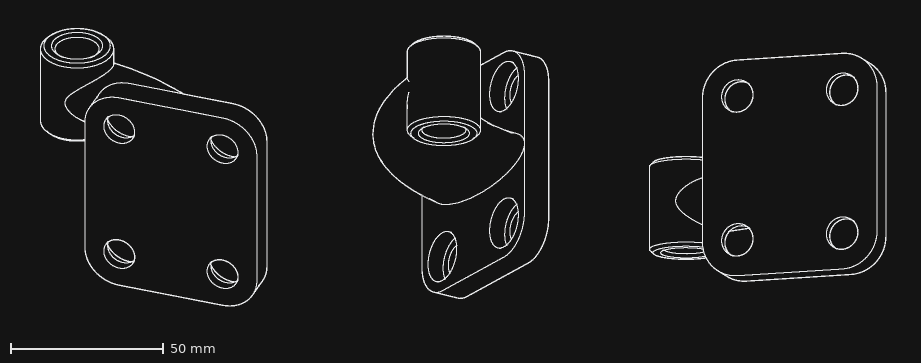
import cadquery as cq
import math

plate_width = 60.2
plate_height = 72.2
plate_thickness = 9.6
corner_radius = 12.0
hole_diameter = 10.8
counterbore_diameter = 16.9
counterbore_depth = 6.0
hole_margin = corner_radius

sleeve_diameter = 24.1
sleeve_length = 30.0
sleeve_y = 57.8
bore_diameter = 14.4
sleeve_chamfer = 1.2

arm_root_width = 54.1
arm_height = 18.1
arm_inner_radius = 39.1
arm_outer_radius = 82.4
arm_section_count = 7
arm_tip_inset = 0.1

sleeve_radius = sleeve_diameter / 2
arm_tip_radius = sleeve_radius - arm_tip_inset
plate_left = sleeve_diameter
plate_center_x = plate_left + plate_width / 2


def make_plate():
    """Rounded plate with a hole near each corner, counterbored on the arm side."""
    return (
        cq.Workplane("XZ", origin=(plate_center_x, 0, 0))
        .rect(plate_width, plate_height)
        .extrude(-plate_thickness)
        .edges("|Y")
        .fillet(corner_radius)
        .faces(">Y")
        .workplane(centerOption="CenterOfBoundBox")
        .rect(plate_width - 2 * hole_margin, plate_height - 2 * hole_margin, forConstruction=True)
        .vertices()
        .cboreHole(hole_diameter, counterbore_diameter, counterbore_depth)
    )


def make_sleeve():
    """Solid sleeve with chamfered ends."""
    return (
        cq.Workplane("XY", origin=(0, sleeve_y, -sleeve_length / 2))
        .circle(sleeve_radius)
        .extrude(sleeve_length)
        .edges("%CIRCLE")
        .chamfer(sleeve_chamfer)
    )


def make_bore():
    """Through bore widening at both ends, as a cutting body."""
    half_length = sleeve_length / 2
    bore_radius = bore_diameter / 2
    mouth_radius = bore_radius + sleeve_chamfer
    profile = [
        (0, -half_length),
        (mouth_radius, -half_length),
        (bore_radius, -half_length + sleeve_chamfer),
        (bore_radius, half_length - sleeve_chamfer),
        (mouth_radius, half_length),
        (0, half_length),
    ]
    return (
        cq.Workplane("XZ", origin=(0, sleeve_y, 0))
        .polyline(profile)
        .close()
        .revolve(360, (0, 0), (0, 1))
    )


def arc_point(start, end, radius, fraction):
    """Point part of the way along the counterclockwise arc from start to end."""
    chord = end - start
    to_center = cq.Vector(0, 0, 1).cross(chord).normalized()
    half_sweep = math.asin(chord.Length / (2 * radius))
    center = (start + end) / 2 + to_center * (radius * math.cos(half_sweep))
    angle = 2 * half_sweep * fraction
    spoke = start - center
    return center + spoke * math.cos(angle) + cq.Vector(0, 0, 1).cross(spoke) * math.sin(angle)


def make_arm():
    """Loft of ellipses whose ends follow the inner and outer arcs of the arm."""
    inner_root = cq.Vector(plate_left, plate_thickness, 0)
    inner_tip = cq.Vector(0, sleeve_y - arm_tip_radius, 0)
    outer_root = cq.Vector(plate_left + arm_root_width, plate_thickness, 0)
    outer_tip = cq.Vector(0, sleeve_y + arm_tip_radius, 0)

    sections = []
    for index in range(arm_section_count):
        fraction = index / (arm_section_count - 1)
        inner = arc_point(inner_root, inner_tip, arm_inner_radius, fraction)
        outer = arc_point(outer_root, outer_tip, arm_outer_radius, fraction)
        across = outer - inner
        normal = across.cross(cq.Vector(0, 0, 1))
        ellipse = cq.Edge.makeEllipse(
            across.Length / 2,
            arm_height / 2,
            pnt=(inner + outer) / 2,
            dir=normal,
            xdir=across,
        )
        sections.append(cq.Wire.assembleEdges([ellipse]))
    return cq.Workplane(obj=cq.Solid.makeLoft(sections))


body = make_plate().union(make_arm()).union(make_sleeve())
result = body.cut(make_bore())